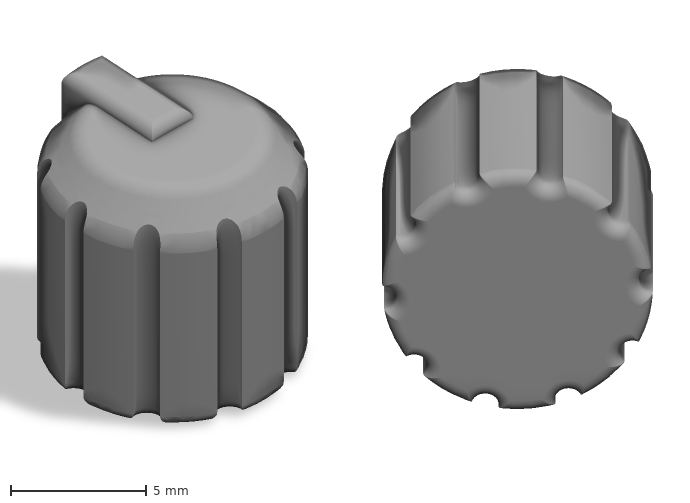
import cadquery as cq
import math

BODY_RADIUS = 5.0
BODY_HEIGHT = 10.0
SHOULDER_CHAMFER = 1.5
SHOULDER_BLEND_RADIUS = 1.0
BOTTOM_EDGE_RADIUS = 0.5

FLUTE_COUNT = 10
FLUTE_RADIUS = 0.5
FULL_TURN = 360
FLUTE_PITCH_ANGLE = FULL_TURN / FLUTE_COUNT
FIRST_FLUTE_ANGLE = FLUTE_PITCH_ANGLE / 2

POINTER_RISE = 0.5
POINTER_EDGE_RADIUS = 0.5
POINTER_TOP = BODY_HEIGHT + POINTER_RISE
POINTER_ROOT = BODY_HEIGHT / 2
POINTER_HALF_WIDTH = BODY_RADIUS * math.sin(math.radians(FIRST_FLUTE_ANGLE)) - FLUTE_RADIUS


def make_body():
    """Cylinder with a chamfered shoulder whose two edges are blended."""
    body = cq.Workplane("XY").circle(BODY_RADIUS).extrude(BODY_HEIGHT)
    body = body.faces(">Z").edges().chamfer(SHOULDER_CHAMFER)
    return body.faces("%CONE").edges("%CIRCLE").fillet(SHOULDER_BLEND_RADIUS)


def make_flutes():
    """Ring of round cutters that run the full height of the body."""
    return (
        cq.Workplane("XY")
        .polarArray(BODY_RADIUS, FIRST_FLUTE_ANGLE, FULL_TURN, FLUTE_COUNT)
        .circle(FLUTE_RADIUS)
        .extrude(BODY_HEIGHT)
    )


def make_pointer():
    """Bar from the knob axis out to the -X rim, with a rounded top edge."""
    bar = (
        cq.Workplane("XY", origin=(0, 0, POINTER_ROOT))
        .moveTo(-BODY_RADIUS, -POINTER_HALF_WIDTH)
        .lineTo(0, -POINTER_HALF_WIDTH)
        .lineTo(0, POINTER_HALF_WIDTH)
        .lineTo(-BODY_RADIUS, POINTER_HALF_WIDTH)
        .close()
        .extrude(POINTER_TOP - POINTER_ROOT)
    )
    rim = cq.Workplane("XY").circle(BODY_RADIUS).extrude(POINTER_TOP)
    return bar.intersect(rim).faces(">Z").edges().fillet(POINTER_EDGE_RADIUS)


knob = make_body().cut(make_flutes())
knob = knob.faces("<Z").edges().fillet(BOTTOM_EDGE_RADIUS)
result = knob.union(make_pointer())